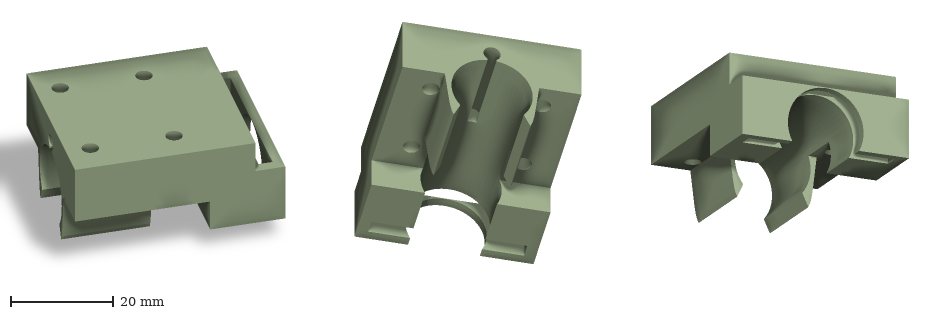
import cadquery as cq


width = 36.0
length = 42.75
height = 22.7
plate_thickness = 12.1
rear_step_length = 6.05
rear_step_depth = 6.55
rear_block_length = 15.25
rear_block_bottom = -(rear_step_depth + plate_thickness)

bore_diameter = 16.35
bore_crown_depth = 6.65
bore_center_z = -(bore_crown_depth + bore_diameter / 2)
jaw_length = 18.0
jaw_root_half_width = 9.5
jaw_bend_half_width = 8.65
jaw_bend_z = -19.02
jaw_curve_end_half_width = 8.1
jaw_curve_end_z = -21.8
jaw_tip_half_width = 7.7
jaw_lip_half_width = 6.33
jaw_lip_z = -19.85

keyhole_diameter = 3.4
keyhole_center_z = -4.87
keyhole_neck_width = 1.8

screw_hole_diameter = 3.4
screw_spacing_x = 22.45
screw_rows_y = (4.95, 21.97)

slot_width = 31.4
slot_length = 2.85
slot_rear_wall = 1.95


def make_body():
    """Side profile of the plate and rear block, extruded across the width."""
    step_y = length - rear_step_length
    block_y = length - rear_block_length
    profile = [
        (0, 0),
        (step_y, 0),
        (step_y, -rear_step_depth),
        (length, -rear_step_depth),
        (length, rear_block_bottom),
        (block_y, rear_block_bottom),
        (block_y, -plate_thickness),
        (0, -plate_thickness),
    ]
    return cq.Workplane("YZ").polyline(profile).close().extrude(width / 2, both=True)


def front_plane():
    """XZ workplane on the front face; a negative extrusion runs into the part."""
    return cq.Workplane("XZ")


def make_jaw(side):
    """One jaw, solid up to the plate; the bore later hollows its inner face."""
    return (
        front_plane()
        .moveTo(0, bore_center_z)
        .lineTo(0, -bore_crown_depth)
        .lineTo(side * jaw_root_half_width, -bore_crown_depth)
        .lineTo(side * jaw_root_half_width, -plate_thickness)
        .lineTo(side * jaw_bend_half_width, jaw_bend_z)
        .tangentArcPoint((side * jaw_curve_end_half_width, jaw_curve_end_z), relative=False)
        .lineTo(side * jaw_tip_half_width, -height)
        .lineTo(side * jaw_lip_half_width, jaw_lip_z)
        .close()
        .extrude(-jaw_length)
    )


def make_bore():
    """Full-length bore, which breaks out through the bottom of the rear block."""
    return front_plane().center(0, bore_center_z).circle(bore_diameter / 2).extrude(-length)


def make_keyhole():
    """Round blind hole joined to the bore by a narrow neck."""
    hole = front_plane().center(0, keyhole_center_z).circle(keyhole_diameter / 2).extrude(-jaw_length)
    neck_height = keyhole_center_z - bore_center_z
    neck = (
        front_plane()
        .center(0, bore_center_z + neck_height / 2)
        .rect(keyhole_neck_width, neck_height)
        .extrude(-jaw_length)
    )
    return hole.union(neck)


def make_screw_holes():
    points = [(side * screw_spacing_x / 2, y) for side in (-1, 1) for y in screw_rows_y]
    return cq.Workplane("XY").pushPoints(points).circle(screw_hole_diameter / 2).extrude(-plate_thickness)


def make_strap_slot():
    slot_center_y = length - slot_rear_wall - slot_length / 2
    return cq.Workplane("XY").center(0, slot_center_y).rect(slot_width, slot_length).extrude(-height)


result = make_body()
for jaw_side in (-1, 1):
    result = result.union(make_jaw(jaw_side))
result = (
    result.cut(make_bore())
    .cut(make_keyhole())
    .cut(make_screw_holes())
    .cut(make_strap_slot())
)